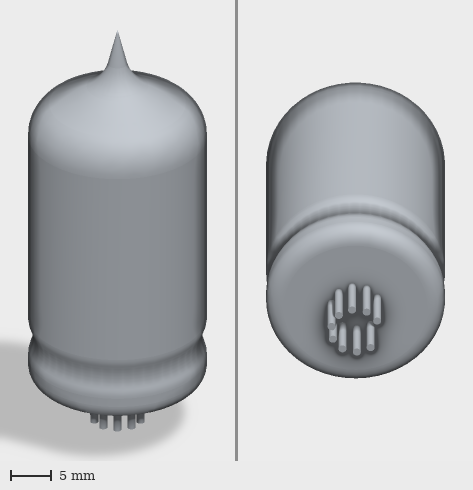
import cadquery as cq
import math

total_height = 54.8
bulb_radius = 10.99

base_z = 5.6
base_corner_radius = 2.15
waist_z = 11.6
waist_radius = 10.4
waist_half_height = 1.6
groove_half_height = 2.75

dome_start_z = 39.9
dome_arc_radius = 5.0
shoulder_radius = 8.4
shoulder_z = 44.35
neck_radius = 3.8
neck_z = 46.8
tip_radius = 1.2
tip_base_z = 50.0
neck_arc_radius = 5.2

pin_diameter = 1.0
pin_circle_radius = 3.0
pin_pitch_angle = 35.0
pin_count = 9
first_pin_angle = 125.0
pin_embed = 0.55


def arc_middle(start, end, arc_radius):
    """Middle of a minor arc from start to end that bulges to the right of travel."""
    run = end[0] - start[0]
    rise = end[1] - start[1]
    chord = math.hypot(run, rise)
    sagitta = arc_radius - math.sqrt(arc_radius**2 - (chord / 2)**2)
    return (
        (start[0] + end[0]) / 2 + sagitta * rise / chord,
        (start[1] + end[1]) / 2 - sagitta * run / chord,
    )


def edge_arc_radius(groove_depth):
    """Radius of the rounded groove edge that is tangent to the bulb wall."""
    height = groove_half_height - waist_half_height
    drop = groove_depth * height / groove_half_height
    return (height**2 + drop**2) / (2 * drop)


def make_envelope():
    """Revolve the half outline, given as (radius, height) points, about Z."""
    groove_depth = bulb_radius - waist_radius
    waist_edge_radius = waist_radius + groove_depth * waist_half_height / groove_half_height

    base_flat = (bulb_radius - base_corner_radius, base_z)
    base_side = (bulb_radius, base_z + base_corner_radius)
    groove_bottom = (bulb_radius, waist_z - groove_half_height)
    waist_bottom = (waist_edge_radius, waist_z - waist_half_height)
    waist_middle = (waist_radius, waist_z)
    waist_top = (waist_edge_radius, waist_z + waist_half_height)
    groove_top = (bulb_radius, waist_z + groove_half_height)
    dome_start = (bulb_radius, dome_start_z)
    shoulder = (shoulder_radius, shoulder_z)
    neck = (neck_radius, neck_z)
    tip_base = (tip_radius, tip_base_z)

    neck_middle = arc_middle(tip_base, neck, neck_arc_radius)
    return (
        cq.Workplane("XZ")
        .moveTo(0, base_z)
        .lineTo(*base_flat)
        .threePointArc(arc_middle(base_flat, base_side, base_corner_radius), base_side)
        .lineTo(*groove_bottom)
        .tangentArcPoint(waist_bottom, relative=False)
        .threePointArc(waist_middle, waist_top)
        .threePointArc(
            arc_middle(waist_top, groove_top, edge_arc_radius(groove_depth)), groove_top
        )
        .lineTo(*dome_start)
        .threePointArc(arc_middle(dome_start, shoulder, dome_arc_radius), shoulder)
        .lineTo(*neck)
        .threePointArc(neck_middle, tip_base)
        .lineTo(0, total_height)
        .close()
        .revolve(360, (0, 0, 0), (0, 1, 0))
    )


def make_pins():
    """Contact pins on a circle, sunk slightly into the base."""
    pin_angles = [first_pin_angle + i * pin_pitch_angle for i in range(pin_count)]
    pin_centers = [
        (
            pin_circle_radius * math.cos(math.radians(angle)),
            pin_circle_radius * math.sin(math.radians(angle)),
        )
        for angle in pin_angles
    ]
    return (
        cq.Workplane("XY")
        .pushPoints(pin_centers)
        .circle(pin_diameter / 2)
        .extrude(base_z + pin_embed)
    )


result = make_envelope().union(make_pins())